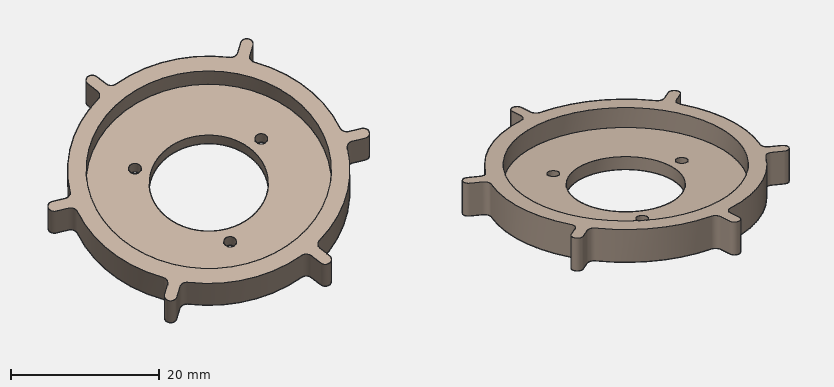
import cadquery as cq
import math

tip_diameter = 45.0
height = 5.0
floor_thickness = 2.0

body_diameter = 38.0
recess_diameter = 33.0
bore_diameter = 16.0

tab_count = 6
tab_width = 1.7
root_fillet = 1.0
tip_center_radius = (tip_diameter - tab_width) / 2

hole_count = 3
hole_diameter = 1.7
hole_circle_radius = 10.2
first_hole_angle = 90


def cylinder(diameter, length):
    return cq.Workplane("XY").circle(diameter / 2).extrude(length)


def is_root_edge(edge):
    """True for the vertical edges where a tab meets the round body."""
    center = edge.Center()
    root_tolerance = 0.005
    return abs(math.hypot(center.x, center.y) - body_diameter / 2) < root_tolerance


def make_body():
    """Solid disc with round-ended tabs blended into its rim."""
    body = cylinder(body_diameter, height)
    for index in range(tab_count):
        bar = cq.Workplane("XY").rect(tip_center_radius, tab_width).extrude(height)
        bar = bar.translate((tip_center_radius / 2, 0, 0))
        body = body.union(bar.rotate((0, 0, 0), (0, 0, 1), index * 360 / tab_count))

    body = body.edges("|Z").filter(is_root_edge).fillet(root_fillet)

    tips = (
        cq.Workplane("XY")
        .polarArray(tip_center_radius, 0, 360, tab_count)
        .circle(tab_width / 2)
        .extrude(height)
    )
    return body.union(tips)


def make_holes():
    return (
        cq.Workplane("XY")
        .polarArray(hole_circle_radius, first_hole_angle, 360, hole_count)
        .circle(hole_diameter / 2)
        .extrude(height)
    )


recess = cylinder(recess_diameter, height).translate((0, 0, floor_thickness))
bore = cylinder(bore_diameter, height)
result = make_body().cut(recess).cut(bore).cut(make_holes())